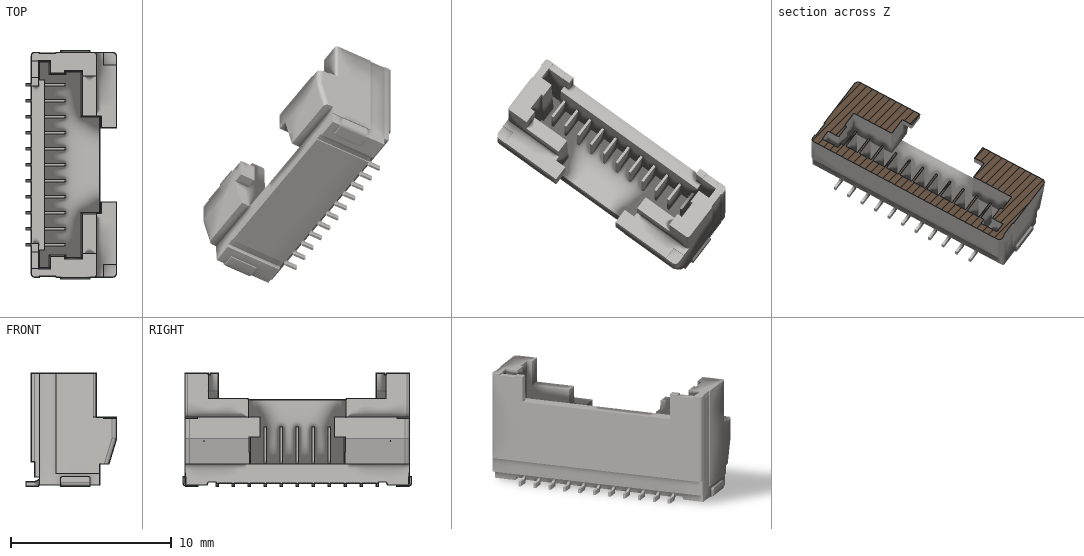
import cadquery as cq


margin = 0.71
selection_slack = 0.01

body_half_width = 7.01
top_z = 7.05
bottom_z = 0.09
rear_x = 0.34
rear_corner_radius = 0.21
rear_band_x = rear_x + rear_corner_radius
rear_band_top_z = 1.52
rear_band_bottom_z = 0.57
base_rear_x = 0.85
base_front_x = 4.62
base_top_z = 1.38
column_front_x = 4.4
column_corner_radius = 0.17

side_recess_depth = 0.05
side_panel_x = 1.88
side_panel_bottom_z = 0.81

underside_half_width = 5.55
underside_chamfer = 0.09
underside_z = 0.27
tail_rail_half_width = 5.06
tail_rail_z = 0.19

wing_front_x = 5.67
wing_top_z = 4.32
wing_slope_z = 2.98
wing_foot_x = 5.19
wing_inner_y = 3.06
wing_corner_radius = 0.28
hook_rear_x = 4.7
hook_inner_y = 2.31
hook_bottom_z = 3.08
wing_step_x = 4.86
wing_step_y = 6.23
wing_step_depth = 0.09

cavity_rear_x = 0.78
cavity_front_x = 3.53
cavity_taper_top_z = 5.95
cavity_inset = 0.09
slot_front_x = 1.54
slot_half_width = 6.5
key_front_x = 2.41
key_half_width = 5.71
cavity_half_width = 5.87
opening_end_x = wing_front_x + margin

front_wall_z = 5.49
front_wall_half_width = 5.55
rear_wall_z = 5.42
rear_window_half_width = 4.92
rear_ledge_front_x = 1.17
rear_ledge_half_width = 5.3
rear_top_step_depth = 0.09
rear_top_step_y = (5.43, 6.47)

pin_count = 11
pin_pitch = 1.0
pin_width = 0.15
tail_height = 0.3
tail_flat_x = 0.57
tail_heel_x = 0.8
tail_root_bottom_z = 0.23
tail_root_top_z = 0.44
contact_front_x = 2.44
contact_top_z = 3.7

tab_rear_x = 2.17
tab_front_x = 4.02
tab_half_span = 7.12
tab_inner_y = 6.2
tab_top_z = 0.61
tab_thickness = 0.15
tab_bend_radius = 0.23
tab_corner_radius = 0.13


def block(x0, x1, y0, y1, z0, z1):
    """Box given by its limits along each axis."""
    return cq.Workplane("XY").box(x1 - x0, y1 - y0, z1 - z0, centered=False).translate((x0, y0, z0))


def centred_block(x0, x1, half_width, z0, z1):
    """Box that is symmetric about Y = 0."""
    return block(x0, x1, -half_width, half_width, z0, z1)


def both_ends(solid):
    """The solid together with its mirror image across Y = 0."""
    return solid.union(solid.mirror("XZ"))


def xz_prism(points, y0, y1):
    """Prism with an XZ outline, spanning y0 to y1."""
    return cq.Workplane("XZ").polyline(points).close().extrude(y0 - y1).translate((0, y0, 0))


def make_shell():
    base = centred_block(base_rear_x, base_front_x, body_half_width, bottom_z, base_top_z)
    band = centred_block(rear_band_x, base_front_x, body_half_width, rear_band_bottom_z, base_top_z)
    lower = centred_block(rear_band_x, column_front_x, body_half_width, rear_band_bottom_z, wing_top_z)
    upper = (
        centred_block(rear_x, column_front_x, body_half_width, rear_band_top_z, top_z)
        .edges("|Z and <X").fillet(rear_corner_radius)
        .edges("|Z and >X").fillet(column_corner_radius)
    )
    return base.union(band).union(lower).union(upper)


def make_wing():
    outline = [
        (cavity_front_x, base_top_z),
        (wing_foot_x, base_top_z),
        (wing_front_x, wing_slope_z),
        (wing_front_x, wing_top_z),
        (cavity_front_x, wing_top_z),
    ]
    outer_edges = cq.selectors.BoxSelector(
        (column_front_x, body_half_width - selection_slack, base_top_z + selection_slack),
        (wing_front_x + selection_slack, body_half_width + selection_slack, wing_top_z - selection_slack),
    )
    wing = xz_prism(outline, wing_inner_y - cavity_inset, body_half_width)
    wing = wing.edges(outer_edges).fillet(wing_corner_radius)
    step = block(
        wing_step_x, wing_front_x + margin, wing_step_y, body_half_width + margin,
        wing_top_z - wing_step_depth, top_z,
    )
    return wing.cut(step)


def make_hook():
    return block(hook_rear_x, wing_front_x, hook_inner_y, wing_inner_y, hook_bottom_z, wing_top_z)


def cavity_outline(inset):
    """XY outline of the cavity with its walls moved inwards by inset."""
    rear = cavity_rear_x + inset
    slot_front = slot_front_x - inset
    key_front = key_front_x + inset
    front = cavity_front_x - inset
    half_outline = [
        (rear, slot_half_width - inset),
        (slot_front, slot_half_width - inset),
        (slot_front, key_half_width - inset),
        (key_front, key_half_width - inset),
        (key_front, cavity_half_width - inset),
        (front, cavity_half_width - inset),
        (front, wing_inner_y - inset),
        (opening_end_x, wing_inner_y - inset),
    ]
    return half_outline + [(x, -y) for x, y in reversed(half_outline)]


def make_cavity():
    throat_height = cavity_taper_top_z - base_top_z
    throat = (
        cq.Workplane("XY", origin=(0, 0, base_top_z))
        .polyline(cavity_outline(cavity_inset)).close()
        .workplane(offset=throat_height)
        .polyline(cavity_outline(0)).close()
        .loft(ruled=True)
    )
    mouth = (
        cq.Workplane("XY", origin=(0, 0, cavity_taper_top_z))
        .polyline(cavity_outline(0)).close()
        .extrude(top_z - cavity_taper_top_z)
    )
    return mouth.union(throat)


def make_side_recess():
    outline = [
        (base_rear_x, bottom_z),
        (base_front_x + margin, bottom_z),
        (base_front_x + margin, side_panel_bottom_z),
        (side_panel_x, side_panel_bottom_z),
        (side_panel_x, top_z),
        (base_rear_x, top_z),
    ]
    return xz_prism(outline, body_half_width - side_recess_depth, body_half_width + margin)


def make_underside_clearance():
    outline = [
        (underside_half_width + underside_chamfer, bottom_z),
        (underside_half_width, underside_z),
        (tail_rail_half_width, underside_z),
        (tail_rail_half_width, tail_rail_z),
    ]
    outline += [(-y, z) for y, z in reversed(outline)]
    return cq.Workplane("YZ").polyline(outline).close().extrude(wing_front_x)


def make_contact():
    outline = [
        (0, 0),
        (tail_heel_x, 0),
        (base_rear_x, tail_root_bottom_z),
        (contact_front_x, tail_root_bottom_z),
        (contact_front_x, contact_top_z),
        (base_rear_x, contact_top_z),
        (base_rear_x, tail_root_top_z),
        (tail_flat_x, tail_height),
        (0, tail_height),
    ]
    return xz_prism(outline, -pin_width / 2, pin_width / 2)


def make_solder_tab():
    foot = block(tab_rear_x, tab_front_x, tab_inner_y, tab_half_span, 0, tab_thickness)
    plate = block(tab_rear_x, tab_front_x, tab_half_span - tab_thickness, tab_half_span, 0, tab_top_z)
    plate = plate.edges("|Y and >Z").fillet(tab_corner_radius)
    return foot.union(plate).edges("|X and >Y and <Z").fillet(tab_bend_radius)


housing = make_shell().union(both_ends(make_wing()))
housing = housing.cut(make_cavity())
housing = housing.union(both_ends(make_hook()))

housing = housing.union(
    centred_block(cavity_rear_x, rear_ledge_front_x, rear_ledge_half_width, base_top_z, rear_wall_z)
)
housing = housing.cut(
    centred_block(rear_x, rear_ledge_front_x, rear_window_half_width, rear_wall_z, top_z)
)
rear_top_step = block(rear_x, cavity_rear_x, *rear_top_step_y, top_z - rear_top_step_depth, top_z)
housing = housing.cut(both_ends(rear_top_step))
housing = housing.cut(
    centred_block(cavity_front_x - cavity_inset, column_front_x, front_wall_half_width, front_wall_z, top_z)
)

housing = housing.cut(both_ends(make_side_recess()))
housing = housing.cut(make_underside_clearance())

result = housing.union(both_ends(make_solder_tab()))
for index in range(pin_count):
    pin_y = (index - (pin_count - 1) / 2) * pin_pitch
    result = result.union(make_contact().translate((0, pin_y, 0)))